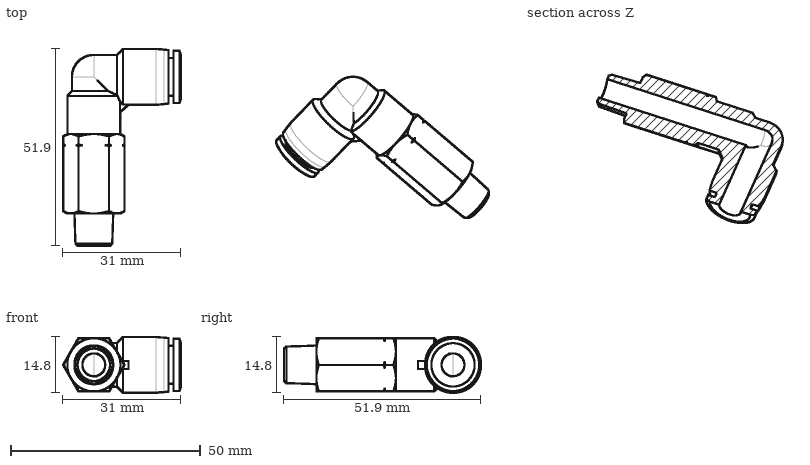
import cadquery as cq
import math

overall_length = 51.9
socket_diameter = 14.8
socket_radius = socket_diameter / 2
elbow_radius = 5.8
bore_radius = 3.0

stem_end = socket_radius - overall_length
thread_chamfer_start = -43.8
hex_bottom = -35.95
groove_y = -18.0
hex_top = -15.05
sleeve_shoulder = -5.0
sleeve_top = -3.75

hex_across_flats = 14.0
hex_corner_radius = hex_across_flats / math.sqrt(3)
sleeve_radius = hex_across_flats / 2
hex_chamfer_angle = math.radians(30)
thread_root_radius = 5.15
thread_tip_radius = 4.9
thread_end_radius = 4.25
groove_depth = 0.4
groove_half_width = 0.2

cone_start = 6.1
cone_end = 7.7
taper_start = 16.4
taper_end = 18.5
socket_end = 19.7
ring_start = 20.95
ring_edge = 22.5
ring_end = 22.95
taper_radius = 7.2
mouth_radius = 7.05
neck_radius = 5.05
ring_radius = 6.9
ring_face_radius = 5.7

gusset_thickness = 2.1
gusset_tip_x = 9.1
gusset_bottom_y = -9.25


def revolve_about_y(points):
    """Solid of revolution from (radius, y) points."""
    return cq.Workplane("XY").polyline(points).close().revolve(360, (0, 0, 0), (0, 1, 0))


def cylinder_along_y(radius, start, end):
    return cq.Workplane("XZ", origin=(0, start, 0)).circle(radius).extrude(start - end)


def make_stem():
    return revolve_about_y([
        (0, stem_end),
        (thread_end_radius, stem_end),
        (thread_tip_radius, thread_chamfer_start),
        (thread_root_radius, hex_bottom),
        (thread_root_radius, hex_top),
        (sleeve_radius, hex_top),
        (sleeve_radius, sleeve_shoulder),
        (elbow_radius, sleeve_top),
        (elbow_radius, 0),
        (0, 0),
    ])


def make_hexagon():
    """Hexagon with corners on X, end chamfers and a V groove across its corners."""
    prism = (
        cq.Workplane("XZ", origin=(0, hex_top, 0))
        .polygon(6, 2 * hex_corner_radius)
        .extrude(hex_top - hex_bottom)
    )
    chamfer_height = (hex_corner_radius - sleeve_radius) * math.tan(hex_chamfer_angle)
    envelope = revolve_about_y([
        (0, hex_bottom),
        (sleeve_radius, hex_bottom),
        (hex_corner_radius, hex_bottom + chamfer_height),
        (hex_corner_radius, groove_y - groove_half_width),
        (hex_corner_radius - groove_depth, groove_y),
        (hex_corner_radius, groove_y + groove_half_width),
        (hex_corner_radius, hex_top - chamfer_height),
        (sleeve_radius, hex_top),
        (0, hex_top),
    ])
    return prism.intersect(envelope)


def make_socket():
    """Tube socket with its tapered mouth, neck and chamfered release ring."""
    profile = (
        cq.Workplane("XY")
        .moveTo(0, 0)
        .lineTo(0, elbow_radius)
        .lineTo(cone_start, elbow_radius)
        .lineTo(cone_end, socket_radius)
        .lineTo(taper_start, socket_radius)
        .lineTo(taper_end, taper_radius)
        .lineTo(socket_end, mouth_radius)
        .lineTo(socket_end, neck_radius)
        .lineTo(ring_start, neck_radius)
        .lineTo(ring_start, ring_radius)
        .lineTo(ring_edge, ring_radius)
        .lineTo(ring_end, ring_face_radius)
        .lineTo(ring_end, 0)
        .close()
    )
    return profile.revolve(360, (0, 0, 0), (1, 0, 0))


def make_gusset():
    return (
        cq.Workplane("XY")
        .polyline([
            (0, 0),
            (gusset_tip_x, 0),
            (gusset_tip_x, -socket_radius),
            (sleeve_radius, gusset_bottom_y),
            (0, gusset_bottom_y),
        ])
        .close()
        .extrude(gusset_thickness / 2, both=True)
    )


def make_bore():
    """Stem and socket passages meeting in a spherical elbow."""
    stem_bore = cylinder_along_y(bore_radius, 0, stem_end)
    socket_bore = cq.Workplane("YZ").circle(bore_radius).extrude(ring_end)
    return stem_bore.union(socket_bore).union(cq.Workplane("XY").sphere(bore_radius))


body = make_stem().union(cq.Workplane("XY").sphere(elbow_radius))
body = body.union(make_hexagon()).union(make_socket()).union(make_gusset())
result = body.cut(make_bore())